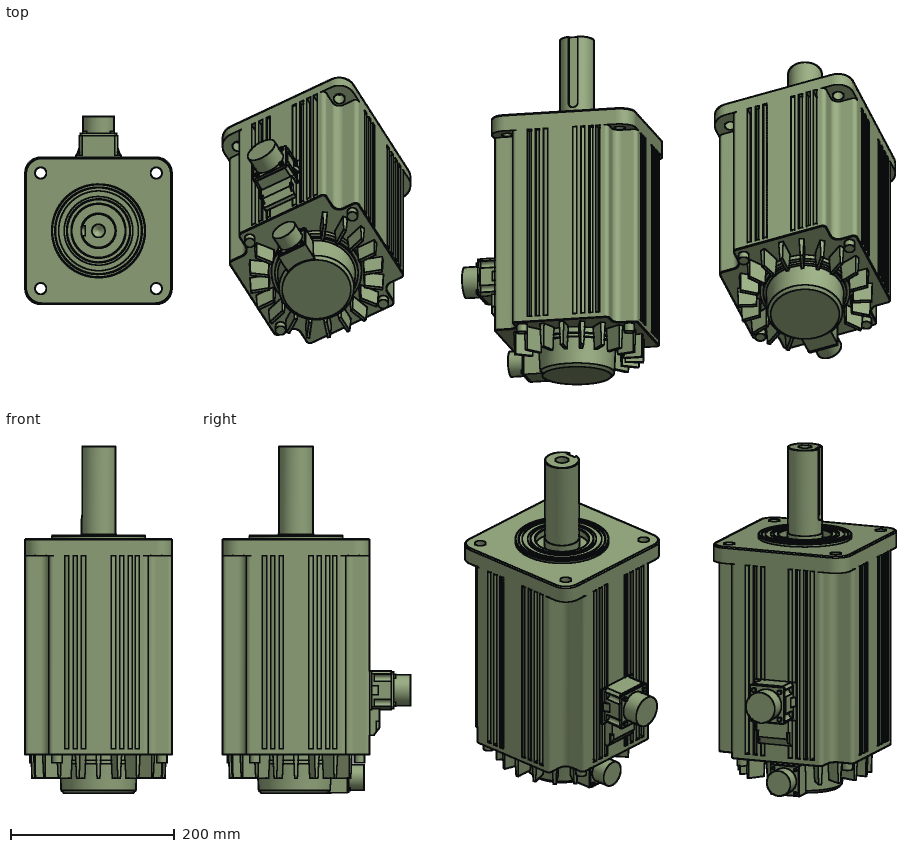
import cadquery as cq
import math

total_height = 424.5
pilot_top = 315.5
flange_top = 311.5
flange_bottom = 290.7
end_plate_top = 54.5
end_plate_bottom = 47.0

side = 180.0
half_side = side / 2
flange_corner_radius = 20.0
flange_chamfer = 1.5
bolt_spacing = 141.5
bolt_hole_diameter = 13.5

corner_setback = 55.5
corner_round = 5.0
cove_radius = 9.8
groove_width = 5.0
groove_floor_radius = 90.0
groove_starts = [-41.0, -31.0, -21.0, 15.5, 26.0, 36.0, 45.0]
end_plate_chamfer = 1.0

pilot_radius = 57.5
pilot_bevel = 1.0
outer_groove_inner_radius = 49.0
outer_groove_outer_radius = 53.5
inner_groove_inner_radius = 38.0
inner_groove_outer_radius = 42.0
recess_radius = 32.5
recess_depth = 9.5

shaft_radius = 42.0 / 2
collar_radius = 43.0 / 2
collar_top = 317.0
shaft_chamfer = 0.65
keyway_width = 12.0
keyway_length = 90.0
keyway_floor = 16.0
center_hole_radius = 8.0
center_hole_depth = 36.0
drill_tip_depth = 4.5

boss_radius = 55.0
boss_bottom = 40.5
step_radius = 51.0
step_bottom = 36.5
hub_top_radius = 47.5
hub_radius = 46.0
hub_chamfer = 4.0
fin_count = 20
fins_omitted = [4, 5, 6]
fin_inner_radius = 58.5
fin_outer_radius = 82.5
fin_bottom = 18.5
fin_end_draft = 1.0
fin_root_thickness = 6.0
fin_tip_thickness = 3.5
cover_screw_radius = 6.5
cover_screw_height = 9.8
cover_screw_along = 50.5
cover_screw_out = 77.5

power_z = 126.0
power_end_y = 140.0
power_plug_radius = 19.0
power_box_width = 47.5
power_box_height = 47.5
power_box_end_y = 116.3
power_box_edge_chamfer = 4.0
power_cap_end_y = 119.3
power_cap_size = 45.0
power_base_width = 55.0
power_base_end_y = 92.5
power_screw_offset = 17.0
power_screw_radius = 2.5
power_screw_end_y = 122.0
channel_offset = 15.3
channel_radius = 4.2
channel_start_y = 96.0
gusset_height = 11.5
gusset_end_y = 100.5

terminal_width = 42.5
terminal_end_y = 102.3
terminal_bottom = 71.0
terminal_slope_top = 80.5
terminal_slope_y = 95.0
relief_width = 2.5
relief_depth = 4.2
relief_top = 88.3

encoder_z = 19.5
encoder_plug_radius = 15.5
encoder_end_y = 83.0
encoder_box_end_y = 62.5
encoder_box_size = 37.8
encoder_cap_end_y = 64.5
encoder_cap_size = 36.5
encoder_screw_offset = 14.5
encoder_screw_radius = 1.5
encoder_screw_end_y = 66.0


def block(x_range, y_range, z_range):
    """Axis-aligned box between the given limits."""
    (x0, x1), (y0, y1), (z0, z1) = x_range, y_range, z_range
    return cq.Workplane("XY").box(x1 - x0, y1 - y0, z1 - z0, centered=False).translate((x0, y0, z0))


def disc(radius, z0, z1):
    """Cylinder about the motor axis."""
    return cq.Workplane("XY").workplane(offset=z0).circle(radius).extrude(z1 - z0)


def rod_y(radius, x, z, y0, y1):
    """Cylinder parallel to Y."""
    return cq.Workplane("XZ", origin=(x, y0, z)).circle(radius).extrude(y0 - y1)


def square_y(width, height, z, y0, y1):
    """Box centred on X = 0 and the given Z, running from y0 to y1."""
    return block((-width / 2, width / 2), (y0, y1), (z - height / 2, z + height / 2))


def corner_screws(radius, offset, z, y0, y1):
    """Four screw heads at the corners of a connector facing +Y."""
    screws = cq.Workplane("XY")
    for x in (-offset, offset):
        for dz in (-offset, offset):
            screws = screws.add(rod_y(radius, x, z + dz, y0, y1))
    return screws.combine()


def quarter_turns(solid):
    """The same solid at the four sides of the motor."""
    return [solid.rotate((0, 0, 0), (0, 0, 1), 90 * turn) for turn in range(4)]


def notched_prism(z0, z1):
    """Square prism with a hollow, round-lipped notch along each corner."""
    prism = block((-half_side, half_side), (-half_side, half_side), (z0, z1))
    wall = corner_setback + corner_round
    lip = half_side - corner_round
    cove = wall + cove_radius
    slant = math.sqrt(0.5)
    lip_mid = corner_round * slant
    cove_mid = cove - cove_radius * slant
    notch = (
        cq.Workplane("XY").workplane(offset=z0)
        .moveTo(corner_setback, half_side)
        .threePointArc((corner_setback + lip_mid, lip + lip_mid), (wall, lip))
        .lineTo(wall, cove)
        .threePointArc((cove_mid, cove_mid), (cove, wall))
        .lineTo(lip, wall)
        .threePointArc((lip + lip_mid, corner_setback + lip_mid), (half_side, corner_setback))
        .lineTo(half_side, half_side)
        .close()
        .extrude(z1 - z0)
    )
    for turned in quarter_turns(notch):
        prism = prism.cut(turned)
    return prism


def make_housing():
    """Housing with straight cooling grooves, closed below by the end plate."""
    housing = notched_prism(end_plate_top, flange_bottom)
    core = disc(groove_floor_radius, end_plate_top, flange_bottom)
    for start in groove_starts:
        groove = block((start, start + groove_width), (-half_side, 0), (end_plate_top, flange_bottom))
        groove = groove.cut(core)
        for turned in quarter_turns(groove):
            housing = housing.cut(turned)
    end_plate = notched_prism(end_plate_bottom, end_plate_top).faces("<Z").chamfer(end_plate_chamfer)
    return housing.union(end_plate)


def make_flange():
    """Mounting plate with bolt holes, open in the middle for the pilot."""
    flange = block((-half_side, half_side), (-half_side, half_side), (flange_bottom, flange_top))
    flange = flange.edges("|Z").fillet(flange_corner_radius)
    flange = flange.faces(">Z").chamfer(flange_chamfer)
    flange = flange.cut(disc(pilot_radius, flange_bottom, flange_top))
    holes = (
        cq.Workplane("XY").workplane(offset=flange_bottom)
        .rect(bolt_spacing, bolt_spacing, forConstruction=True).vertices()
        .circle(bolt_hole_diameter / 2).extrude(flange_top - flange_bottom)
    )
    return flange.cut(holes)


def make_pilot():
    """Ringed centring pilot with the seal recess around the shaft."""
    groove_floor = pilot_top - pilot_bevel
    return (
        cq.Workplane("XZ")
        .moveTo(0, flange_bottom)
        .lineTo(pilot_radius, flange_bottom)
        .lineTo(pilot_radius, groove_floor)
        .lineTo(pilot_radius - pilot_bevel, pilot_top)
        .lineTo(outer_groove_outer_radius, pilot_top)
        .lineTo(outer_groove_outer_radius - pilot_bevel, groove_floor)
        .lineTo(outer_groove_inner_radius, groove_floor)
        .lineTo(outer_groove_inner_radius, pilot_top)
        .lineTo(inner_groove_outer_radius, pilot_top)
        .lineTo(inner_groove_outer_radius, groove_floor)
        .lineTo(inner_groove_inner_radius + pilot_bevel, groove_floor)
        .lineTo(inner_groove_inner_radius, pilot_top)
        .lineTo(recess_radius + pilot_bevel, pilot_top)
        .lineTo(recess_radius, groove_floor)
        .lineTo(recess_radius, pilot_top - recess_depth)
        .lineTo(0, pilot_top - recess_depth)
        .close()
        .revolve(360, (0, 0, 0), (0, 1, 0))
    )


def make_shaft():
    """Output shaft with keyway, seal collar and drilled end."""
    shaft = disc(shaft_radius, flange_bottom, total_height).faces(">Z").chamfer(shaft_chamfer)
    shaft = shaft.union(disc(collar_radius, flange_bottom, collar_top))
    keyway_end = total_height - keyway_length + keyway_width / 2
    slot = block((-collar_radius, -keyway_floor), (-keyway_width / 2, keyway_width / 2),
                 (keyway_end, total_height))
    slot_end = (
        cq.Workplane("YZ", origin=(-collar_radius, 0, keyway_end))
        .circle(keyway_width / 2).extrude(collar_radius - keyway_floor)
    )
    hole_floor = total_height - center_hole_depth
    center_hole = (
        cq.Workplane("XZ")
        .moveTo(0, total_height)
        .lineTo(center_hole_radius, total_height)
        .lineTo(center_hole_radius, hole_floor)
        .lineTo(0, hole_floor - drill_tip_depth)
        .close()
        .revolve(360, (0, 0, 0), (0, 1, 0))
    )
    return shaft.cut(slot).cut(slot_end).cut(center_hole)


def make_hub():
    """Turned centre of the rear cover."""
    return (
        cq.Workplane("XZ")
        .moveTo(0, 0)
        .lineTo(hub_radius - hub_chamfer, 0)
        .lineTo(hub_radius, hub_chamfer)
        .lineTo(hub_top_radius, step_bottom)
        .lineTo(step_radius, step_bottom)
        .lineTo(step_radius, boss_bottom)
        .lineTo(boss_radius, boss_bottom)
        .lineTo(boss_radius, end_plate_bottom)
        .lineTo(0, end_plate_bottom)
        .close()
        .revolve(360, (0, 0, 0), (0, 1, 0))
    )


def make_fin():
    """Radial cooling fin on the +X side, tapering towards its free lower edge."""
    root_length = fin_outer_radius - fin_inner_radius
    return (
        cq.Workplane("XY", origin=((fin_inner_radius + fin_outer_radius) / 2, 0, end_plate_bottom))
        .rect(root_length, fin_root_thickness)
        .workplane(offset=fin_bottom - end_plate_bottom)
        .rect(root_length - 2 * fin_end_draft, fin_tip_thickness)
        .loft()
    )


def add_rear_cover(body):
    """Join the hub, the fins and the cover screws to the body."""
    body = body.union(make_hub())
    fin = make_fin()
    for index in range(fin_count):
        if index not in fins_omitted:
            body = body.union(fin.rotate((0, 0, 0), (0, 0, 1), 360 / fin_count * index))
    screw = disc(cover_screw_radius, end_plate_bottom - cover_screw_height, end_plate_bottom)
    for turned in quarter_turns(screw.translate((-cover_screw_along, -cover_screw_out, 0))):
        body = body.union(turned)
    return body


def make_power_connector():
    """Boxed connector with screw channels, side gussets and a round plug."""
    box = square_y(power_box_width, power_box_height, power_z, half_side, power_box_end_y)
    box = box.edges("|Y").chamfer(power_box_edge_chamfer)
    for side_sign in (-1, 1):
        for z_sign in (-1, 1):
            box = box.cut(rod_y(channel_radius, side_sign * power_box_width / 2,
                                power_z + z_sign * channel_offset, channel_start_y, power_box_end_y))
    base = square_y(power_base_width, power_box_height, power_z, half_side, power_base_end_y)
    gusset = (
        cq.Workplane("XY", origin=(0, 0, power_z - gusset_height / 2))
        .moveTo(-power_base_width / 2, half_side)
        .lineTo(-power_box_width / 2, gusset_end_y)
        .lineTo(power_box_width / 2, gusset_end_y)
        .lineTo(power_base_width / 2, half_side)
        .close()
        .extrude(gusset_height)
    )
    cap = square_y(power_cap_size, power_cap_size, power_z, power_box_end_y, power_cap_end_y)
    plug = rod_y(power_plug_radius, 0, power_z, power_box_end_y, power_end_y)
    screws = corner_screws(power_screw_radius, power_screw_offset, power_z,
                           power_box_end_y, power_screw_end_y)
    return box.union(base).union(gusset).union(cap).union(plug).union(screws)


def make_terminal_cover():
    """Low cover with a sloped lower end and relieved corners."""
    top = power_z - power_box_height / 2 + power_box_edge_chamfer
    terminal_cover = (
        cq.Workplane("YZ", origin=(-terminal_width / 2, 0, 0))
        .moveTo(half_side, top)
        .lineTo(terminal_end_y, top)
        .lineTo(terminal_end_y, terminal_slope_top)
        .lineTo(terminal_slope_y, terminal_bottom)
        .lineTo(half_side, terminal_bottom)
        .close()
        .extrude(terminal_width)
    )
    for side_sign in (-1, 1):
        relief = block((-relief_width, relief_width), (terminal_end_y - relief_depth, terminal_end_y),
                       (terminal_bottom, relief_top))
        terminal_cover = terminal_cover.cut(relief.translate((side_sign * terminal_width / 2, 0, 0)))
    return terminal_cover


def make_encoder_connector():
    """Small boxed connector that runs into the hub."""
    box = square_y(encoder_box_size, encoder_box_size, encoder_z, 0, encoder_box_end_y)
    cap = square_y(encoder_cap_size, encoder_cap_size, encoder_z, encoder_box_end_y, encoder_cap_end_y)
    plug = rod_y(encoder_plug_radius, 0, encoder_z, encoder_box_end_y, encoder_end_y)
    screws = corner_screws(encoder_screw_radius, encoder_screw_offset, encoder_z,
                           encoder_box_end_y, encoder_screw_end_y)
    return box.union(cap).union(plug).union(screws)


motor = make_housing().union(make_flange()).union(make_pilot()).union(make_shaft())
motor = add_rear_cover(motor)
for connector in (make_power_connector(), make_terminal_cover(), make_encoder_connector()):
    motor = motor.union(connector)
result = motor